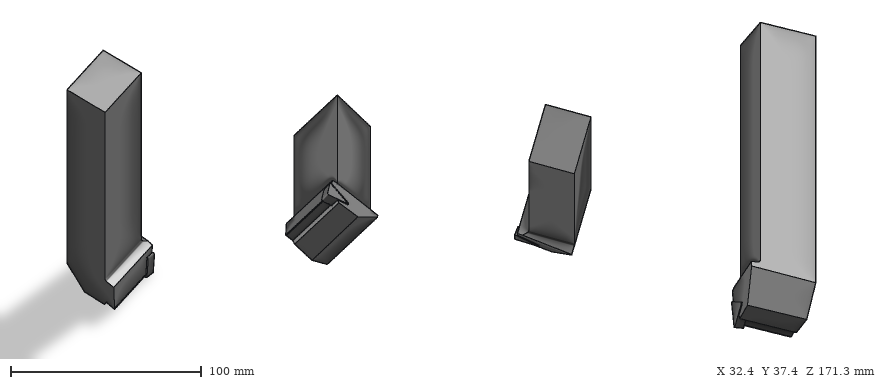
import cadquery as cq
import math

TOTAL_HEIGHT = 171.4
SHANK_WIDTH = 24.8
SHANK_DEPTH = 32.0

HEAD_WIDTH_TOP = 30.5
HEAD_WIDTH_LOW = 31.0
HEAD_DEPTH = 37.4
SHOULDER_TIP_Z = 21.2
SHOULDER_ROOT_Z = 22.6
NECK_RADIUS = 1.7
BEVEL_TOP_Z = 18.2
BEVEL_FOOT = (11.3, 1.9)
BEVEL_DRAFT = 0.8
FOOT_TOE = (24.3, 1.2)
SEAT_INNER = (25.7, 4.1)
SEAT_OUTER = (30.5, 2.2)

RAKE_ANGLE_X = 6.0
RAKE_ANGLE_Z = 6.0
RAKE_SLOPE_X = math.tan(math.radians(RAKE_ANGLE_X))
RAKE_SLOPE_Z = math.tan(math.radians(RAKE_ANGLE_Z))
RAKE_NORMAL = cq.Vector(RAKE_SLOPE_X, 1, -RAKE_SLOPE_Z).normalized()

INSERT_EDGE = 16.6
INSERT_THICKNESS = 5.0
INSERT_CORNER_RADIUS = 0.9
INSERT_TIP = (32.4, -0.5)
INSERT_PROUD = 0.5
CUTTING_EDGE_ANGLE = 91.2
CORNER_ANGLE = 60.0


def rake_y(x, z):
    """Y of the rake face at a given X and Z."""
    return HEAD_DEPTH - RAKE_SLOPE_X * x + RAKE_SLOPE_Z * (z - SHOULDER_TIP_Z)


def front_prism():
    """Shank and head outline in X and Z, extruded along Y."""
    prism = (
        cq.Workplane("XZ")
        .moveTo(0, TOTAL_HEIGHT)
        .lineTo(0, BEVEL_FOOT[1])
        .lineTo(*BEVEL_FOOT)
        .lineTo(*FOOT_TOE)
        .lineTo(*SEAT_INNER)
        .lineTo(*SEAT_OUTER)
        .lineTo(HEAD_WIDTH_LOW, SEAT_OUTER[1])
        .lineTo(HEAD_WIDTH_TOP, SHOULDER_TIP_Z)
        .lineTo(SHANK_WIDTH, SHOULDER_ROOT_Z)
        .lineTo(SHANK_WIDTH, TOTAL_HEIGHT)
        .close()
        .extrude(-HEAD_DEPTH)
    )
    neck = cq.selectors.NearestToPointSelector((SHANK_WIDTH, HEAD_DEPTH / 2, SHOULDER_ROOT_Z))
    return prism.edges(neck).fillet(NECK_RADIUS)


def side_prism():
    """Shank and head outline in Y and Z, extruded along X."""
    prism = (
        cq.Workplane("YZ")
        .moveTo(0, 0)
        .lineTo(HEAD_DEPTH, 0)
        .lineTo(HEAD_DEPTH, SHOULDER_TIP_Z)
        .lineTo(SHANK_DEPTH, SHOULDER_ROOT_Z)
        .lineTo(SHANK_DEPTH, TOTAL_HEIGHT)
        .lineTo(0, TOTAL_HEIGHT)
        .close()
        .extrude(HEAD_WIDTH_LOW)
    )
    neck = cq.selectors.NearestToPointSelector((HEAD_WIDTH_LOW / 2, SHANK_DEPTH, SHOULDER_ROOT_Z))
    return prism.edges(neck).fillet(NECK_RADIUS)


def bevel_wedge():
    """Drafted wedge that cuts the bevel across the lower -X edge."""
    foot_x, foot_z = BEVEL_FOOT
    reach_x = BEVEL_TOP_Z * foot_x / (BEVEL_TOP_Z - foot_z)
    draft_rise = math.tan(math.radians(BEVEL_DRAFT))
    start = (0, -HEAD_DEPTH, -HEAD_DEPTH * draft_rise)
    plane = cq.Plane(origin=start, xDir=(1, 0, 0), normal=(0, -1, -draft_rise))
    return (
        cq.Workplane(plane)
        .polyline([(0, BEVEL_TOP_Z), (reach_x, 0), (0, 0)])
        .close()
        .extrude(-3 * HEAD_DEPTH)
    )


def above_rake_face():
    """Block that removes the head material above the tilted rake face."""
    block_side = 3 * HEAD_DEPTH
    origin = (0, rake_y(0, 0), 0)
    plane = cq.Plane(origin=origin, xDir=(1, -RAKE_SLOPE_X, 0), normal=RAKE_NORMAL.toTuple())
    block = cq.Workplane(plane).rect(block_side, block_side).extrude(block_side)
    head_only = cq.Workplane("XY").box(block_side, 2 * block_side, 2 * SHOULDER_ROOT_Z)
    return block.intersect(head_only)


def make_insert():
    """Triangular cutting insert with rounded corners."""
    tip_x, tip_z = INSERT_TIP
    tip_y = rake_y(tip_x, tip_z)
    side_angle = math.radians(CUTTING_EDGE_ANGLE)
    end_angle = math.radians(CUTTING_EDGE_ANGLE + CORNER_ANGLE)

    def on_rake_plane(angle):
        """Direction lying in the rake face, at an angle from +X towards +Z."""
        dx = math.cos(angle)
        dz = math.sin(angle)
        return cq.Vector(dx, RAKE_SLOPE_Z * dz - RAKE_SLOPE_X * dx, dz)

    origin = cq.Vector(tip_x, tip_y, tip_z) + RAKE_NORMAL * INSERT_PROUD
    plane = cq.Plane(origin=origin.toTuple(), xDir=on_rake_plane(side_angle).toTuple(),
                     normal=RAKE_NORMAL.toTuple())
    far_corner = (
        INSERT_EDGE * math.cos(end_angle - side_angle),
        -INSERT_EDGE * math.sin(end_angle - side_angle),
    )
    return (
        cq.Workplane(plane)
        .polyline([(0, 0), (INSERT_EDGE, 0), far_corner])
        .close()
        .extrude(-INSERT_THICKNESS)
        .edges(cq.selectors.ParallelDirSelector(RAKE_NORMAL))
        .fillet(INSERT_CORNER_RADIUS)
    )


def make_holder(insert):
    """Tool holder with the pocket that seats the insert."""
    blank = front_prism().intersect(side_prism())
    head = blank.cut(bevel_wedge()).cut(above_rake_face())
    return head.cut(insert)


insert = make_insert()
holder = make_holder(insert)
result = cq.Compound.makeCompound([holder.val(), insert.val()])